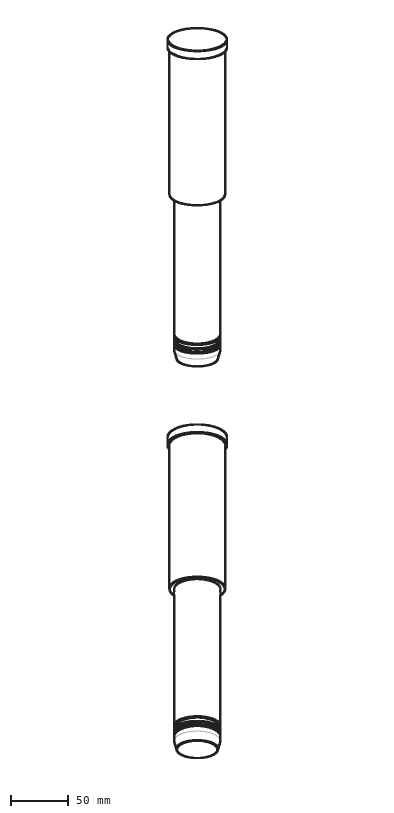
import cadquery as cq

total_length = 300.0
head_height = 8.0
shoulder_height = 154.0

head_radius = 52.0 / 2
shank_radius = 48.5 / 2
pin_radius = 40.2 / 2
tip_radius = 18.0

edge_chamfer = 0.5
tip_height = 8.0
groove_width = 1.2
groove_depth = 0.5
groove_centres = (13.8, 17.5, 22.0)


def cylinder(radius, bottom, top):
    """Solid cylinder on the Z axis between two heights."""
    return cq.Workplane("XY").workplane(offset=bottom).circle(radius).extrude(top - bottom)


def tapered_pin():
    """Thin pin whose lower end tapers as a cone."""
    return (
        cq.Workplane("XZ")
        .lineTo(tip_radius, 0)
        .lineTo(pin_radius, tip_height)
        .lineTo(pin_radius, shoulder_height)
        .lineTo(0, shoulder_height)
        .close()
        .revolve(360, (0, 0, 0), (0, 1, 0))
        .faces("<Z")
        .edges()
        .chamfer(edge_chamfer)
    )


def ring_groove(centre):
    """Ring of material to remove from the pin around a given height."""
    bottom = centre - groove_width / 2
    top = centre + groove_width / 2
    return cylinder(pin_radius, bottom, top).cut(cylinder(pin_radius - groove_depth, bottom, top))


head_bottom = total_length - head_height
head = cylinder(head_radius, head_bottom, total_length).edges().chamfer(edge_chamfer)
shank = cylinder(shank_radius, shoulder_height, head_bottom).faces("<Z").edges().chamfer(edge_chamfer)
result = tapered_pin().union(shank).union(head)

for groove_centre in groove_centres:
    result = result.cut(ring_groove(groove_centre))